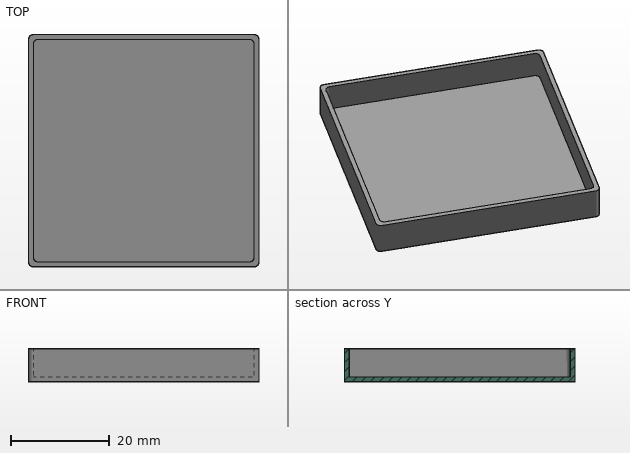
import cadquery as cq

width = 46.8
length = 47.2
height = 6.75

wall = 1.0
floor = 1.0
outer_corner_radius = 1.0
inner_corner_radius = 1.0


def rounded_block(size_x, size_y, size_z, corner_radius):
    """Block standing on the XY plane, with rounded vertical edges."""
    block = cq.Workplane("XY").box(size_x, size_y, size_z, centered=(True, True, False))
    return block.edges("|Z").fillet(corner_radius)


body = rounded_block(width, length, height, outer_corner_radius)

pocket = rounded_block(
    width - 2 * wall,
    length - 2 * wall,
    height - floor,
    inner_corner_radius,
).translate((0, 0, floor))

result = body.cut(pocket)